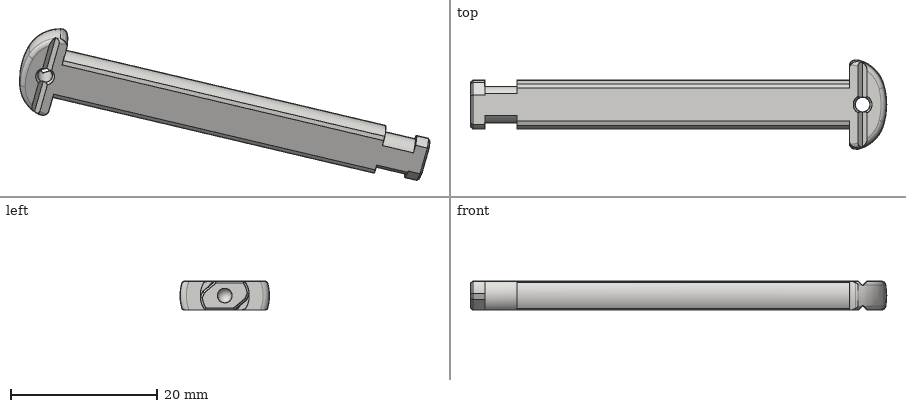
import cadquery as cq
import math

length = 56.9
thickness = 4.0
half_thickness = thickness / 2

shaft_radius = 3.35
shaft_flat_half_width = 2.3
shaft_chamfer_outer = 2.85

tip_length = 1.95
shaft_start = 6.3
neck_radius = 2.5
tip_edge_chamfer = 0.3
bevel_top_y = 1.3
bevel_low_y = 3.0
bevel_low_z = 0.55
bevel_blend_z = -0.3

head_back = 51.75
head_diameter = 12.25
head_radius = head_diameter / 2
dome_start = 52.95
head_corner_radius = 0.85
dome_crown_radius = 9.65
dome_crown_half_width = 2.75
dome_edge_radius = 0.7

dimple_diameter = 2.0
cross_hole_diameter = 2.0
cross_hole_x = 53.6
countersink_width = 0.3
groove_depth = 0.6


def circle_height(radius, across):
    """Other coordinate of a point on a circle centred on the pin axis."""
    return math.sqrt(radius**2 - across**2)


def section(x_start):
    """Cross-section plane at a given place along the pin."""
    return cq.Workplane("YZ", origin=(x_start, 0, 0))


def slab(x_start, x_end):
    """Full-thickness block that gives every round section its two flats."""
    return section(x_start).rect(head_diameter, thickness).extrude(x_end - x_start)


def make_shaft():
    """Round bar with two flats and a shallow chamfer beside each flat."""
    chamfer_z = circle_height(shaft_radius, shaft_chamfer_outer)
    return (
        section(shaft_start)
        .moveTo(-shaft_flat_half_width, half_thickness)
        .lineTo(shaft_flat_half_width, half_thickness)
        .lineTo(shaft_chamfer_outer, chamfer_z)
        .threePointArc((shaft_radius, 0), (shaft_chamfer_outer, -chamfer_z))
        .lineTo(shaft_flat_half_width, -half_thickness)
        .lineTo(-shaft_flat_half_width, -half_thickness)
        .lineTo(-shaft_chamfer_outer, -chamfer_z)
        .threePointArc((-shaft_radius, 0), (-shaft_chamfer_outer, chamfer_z))
        .close()
        .extrude(head_back - shaft_start)
    )


def make_neck():
    """Narrower round neck, flatted like the shaft."""
    neck = section(tip_length).circle(neck_radius).extrude(shaft_start - tip_length)
    return neck.intersect(slab(tip_length, shaft_start))


def make_tip():
    """Flatted disc with two opposite corners bevelled so that it can turn."""
    flat_y = circle_height(shaft_radius, half_thickness)
    blend_y = circle_height(shaft_radius, bevel_blend_z)
    arc_z = (bevel_blend_z - half_thickness) / 2
    arc_y = circle_height(shaft_radius, arc_z)
    tip = (
        section(0)
        .moveTo(bevel_top_y, half_thickness)
        .lineTo(bevel_low_y, bevel_low_z)
        .lineTo(blend_y, bevel_blend_z)
        .threePointArc((arc_y, arc_z), (flat_y, -half_thickness))
        .lineTo(-bevel_top_y, -half_thickness)
        .lineTo(-bevel_low_y, -bevel_low_z)
        .lineTo(-blend_y, -bevel_blend_z)
        .threePointArc((-arc_y, -arc_z), (-flat_y, half_thickness))
        .close()
        .extrude(tip_length)
    )
    return tip.faces("<X").chamfer(tip_edge_chamfer)


def make_head():
    """Mushroom head turned about the pin axis and flattened top and bottom."""
    crown_centre_x = length - dome_crown_radius
    crown_end_x = crown_centre_x + circle_height(dome_crown_radius, dome_crown_half_width)
    crown_mid_y = dome_crown_half_width / 2
    crown_mid_x = crown_centre_x + circle_height(dome_crown_radius, crown_mid_y)
    corner_inset = head_corner_radius * (1 - math.sqrt(0.5))
    turned = (
        cq.Workplane("XY")
        .moveTo(length, 0)
        .threePointArc((crown_mid_x, crown_mid_y), (crown_end_x, dome_crown_half_width))
        .tangentArcPoint((dome_start, head_radius), relative=False)
        .lineTo(head_back + head_corner_radius, head_radius)
        .threePointArc(
            (head_back + corner_inset, head_radius - corner_inset),
            (head_back, head_radius - head_corner_radius),
        )
        .lineTo(head_back, 0)
        .close()
        .revolve(360, (0, 0, 0), (1, 0, 0))
    )
    head = turned.intersect(slab(head_back, length))
    dome_box = cq.selectors.BoxSelector(
        (cross_hole_x, -head_radius, -thickness), (length, head_radius, thickness)
    )
    return head.faces("|Z").edges(dome_box).fillet(dome_edge_radius)


def make_grooves():
    """V-grooves across both flats of the head, through the cross hole."""
    grooves = cq.Workplane("XZ", origin=(0, head_radius, 0))
    for side in (1, -1):
        grooves = (
            grooves.moveTo(cross_hole_x - groove_depth, side * half_thickness)
            .lineTo(cross_hole_x, side * (half_thickness - groove_depth))
            .lineTo(cross_hole_x + groove_depth, side * half_thickness)
            .close()
        )
    return grooves.extrude(head_diameter)


def make_cross_hole():
    """Hole through the head, countersunk at both ends."""
    radius = cross_hole_diameter / 2
    return (
        cq.Workplane("XZ", origin=(cross_hole_x, 0, 0))
        .moveTo(0, -half_thickness)
        .lineTo(radius + countersink_width, -half_thickness)
        .lineTo(radius, -half_thickness + countersink_width)
        .lineTo(radius, half_thickness - countersink_width)
        .lineTo(radius + countersink_width, half_thickness)
        .lineTo(0, half_thickness)
        .close()
        .revolve(360, (0, 0, 0), (0, 1, 0))
    )


def make_tip_dimple():
    """Hemispherical dimple in the end of the tip."""
    radius = dimple_diameter / 2
    diagonal = radius * math.sqrt(0.5)
    return (
        cq.Workplane("XY")
        .lineTo(radius, 0)
        .threePointArc((diagonal, diagonal), (0, radius))
        .close()
        .revolve(360, (0, 0, 0), (1, 0, 0))
    )


result = make_shaft().union(make_neck()).union(make_tip()).union(make_head())
result = result.cut(make_grooves()).cut(make_cross_hole()).cut(make_tip_dimple())